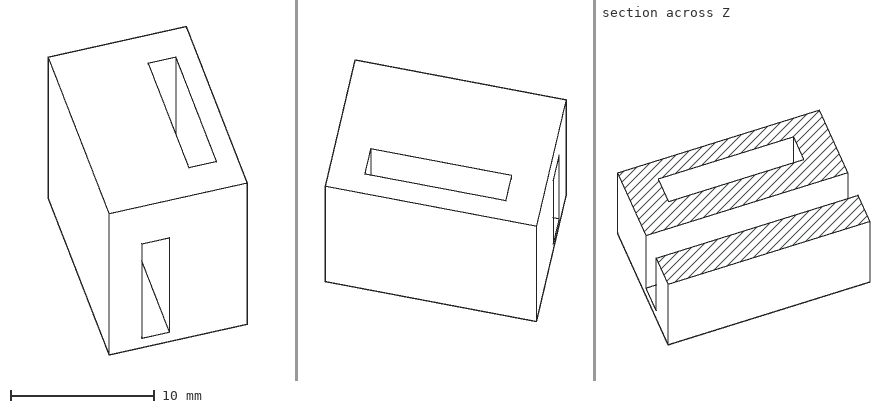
import cadquery as cq

side = 15.0
depth = 10.0

slot_length = 10.0
slot_width = 2.0

vertical_slot_back_wall = 1.5
cross_slot_front_wall = 2.37
cross_slot_floor = 1.0

vertical_slot_y = depth / 2 - vertical_slot_back_wall - slot_width / 2
cross_slot_y = -depth / 2 + cross_slot_front_wall + slot_width / 2
cross_slot_z = -side / 2 + cross_slot_floor + slot_length / 2

block = cq.Workplane("XY").box(side, depth, side)

vertical_slot = (
    cq.Workplane("XY")
    .box(slot_length, slot_width, side)
    .translate((0, vertical_slot_y, 0))
)

cross_slot = (
    cq.Workplane("XY")
    .box(side, slot_width, slot_length)
    .translate((0, cross_slot_y, cross_slot_z))
)

result = block.cut(vertical_slot).cut(cross_slot)